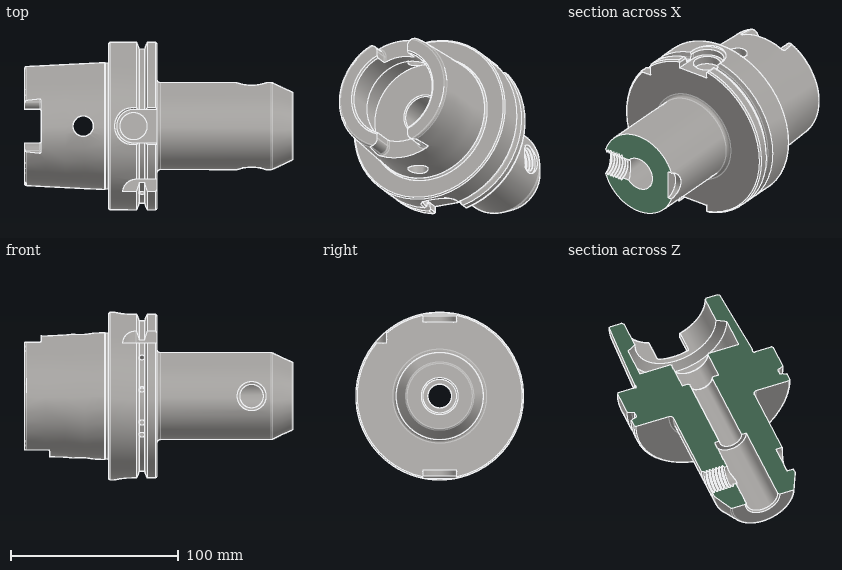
import cadquery as cq
import math


shank_length = 50.0
taper_rate = 1 / 9.98
gauge_diameter = 75.0
gauge_distance = 10.0
shank_end_round = 1.3
undercut_length = 2.2
undercut_depth = 0.3
undercut_entry = 0.5
undercut_corner_radius = 0.8
undercut_face_radius = 38.6
undercut_face_depth = 0.4

flange_radius = 50.0
flange_length = 29.0
flange_chamfer = 0.9
groove_center = 20.0
groove_floor_radius = 46.0
groove_floor_width = 3.2
groove_wall_width = 4.0
groove_wall_radius = 47.3
groove_mouth_width = 6.4

nose_radius = 26.0
nose_length = 110.0
nose_cone_start = 97.3
nose_cone_angle = 25.0
nose_cone_blend = 2.3
nose_end_round = 1.0
neck_fillet = 2.0

mouth_radius = 27.0
cavity_entry_radius = 25.9
mouth_chamfer = mouth_radius - cavity_entry_radius
clamp_shoulder_x = -31.3
clamp_shoulder_angle = 60.0
cavity_inner_radius = 31.5
cavity_floor_x = -9.0
coolant_socket_radius = 11.5
coolant_socket_chamfer = 0.8
coolant_socket_depth = 18.0
through_radius = 7.0
through_chamfer = 1.0
tool_bore_radius = 10.0
tool_bore_depth = 52.0
tool_bore_chamfer = 1.0

drive_slot_half_width = 10.0
drive_slot_flare_radius = 4.5
drive_slot_flare_height = 32.1
drive_slot_floor_fillet = 1.0
drive_slot_depths = {1: 10.0, -1: 15.0}

clamp_hole_x = -15.0
clamp_hole_radius = 6.0

key_slot_half_width = 10.0
key_slot_center_x = 15.0
key_slot_floor = 44.0
key_slot_chamfer = 1.3
chip_hole_radius = 8.1
chip_hole_depth = 5.0

notch_wall_y = -31.6
notch_floor_z = 31.5
notch_end_x = 8.4
notch_corner_radius = 8.2

balance_hole_radius = 1.65
balance_hole_depth = 10.0
balance_hole_angles = (30.0, 5.0, -20.0, -30.0)

screw_x = 85.3
screw_minor_radius = 7.0
screw_major_radius = 8.65
screw_flat = 0.4
screw_pitch = 2.0

relief_radius = 9.0
relief_floor_y = 22.0


def taper_radius(x):
    return (gauge_diameter + (x + gauge_distance) * taper_rate) / 2


def revolve_about_x(sketch):
    return sketch.close().revolve(360, (0, 0, 0), (1, 0, 0))


def drill(start, direction, radius, depth):
    return cq.Workplane(cq.Solid.makeCylinder(radius, depth, cq.Vector(*start), cq.Vector(*direction)))


def make_body():
    undercut_radius = taper_radius(-undercut_length) - undercut_depth
    cone_drop = (nose_length - nose_cone_start) * math.tan(math.radians(nose_cone_angle))
    sketch = (
        cq.Workplane("XY")
        .moveTo(-shank_length, 0)
        .lineTo(-shank_length, taper_radius(-shank_length))
        .lineTo(-undercut_length, taper_radius(-undercut_length))
        .lineTo(undercut_entry - undercut_length, undercut_radius)
        .lineTo(undercut_face_depth - undercut_corner_radius, undercut_radius)
        .radiusArc(
            (undercut_face_depth, undercut_radius + undercut_corner_radius), -undercut_corner_radius
        )
        .lineTo(0, undercut_face_radius)
        .lineTo(0, flange_radius - flange_chamfer)
        .lineTo(flange_chamfer, flange_radius)
        .lineTo(flange_length - flange_chamfer, flange_radius)
        .lineTo(flange_length, flange_radius - flange_chamfer)
        .lineTo(flange_length, nose_radius + neck_fillet)
        .radiusArc((flange_length + neck_fillet, nose_radius), -neck_fillet)
        .lineTo(nose_cone_start, nose_radius)
        .lineTo(nose_length, nose_radius - cone_drop)
        .lineTo(nose_length, 0)
    )
    body = revolve_about_x(sketch)
    body = body.faces("<X").edges().fillet(shank_end_round)
    body = body.faces(">X").edges().fillet(nose_end_round)
    cone_edge = cq.selectors.NearestToPointSelector((nose_cone_start, 0, 0))
    return body.edges("%CIRCLE").edges(cone_edge).fillet(nose_cone_blend)


def make_gripper_groove():
    half_floor = groove_floor_width / 2
    half_wall = groove_wall_width / 2
    half_mouth = groove_mouth_width / 2
    sketch = (
        cq.Workplane("XY")
        .moveTo(groove_center - half_floor, groove_floor_radius)
        .lineTo(groove_center - half_wall, groove_wall_radius)
        .lineTo(groove_center - half_mouth, flange_radius)
        .lineTo(groove_center + half_mouth, flange_radius)
        .lineTo(groove_center + half_wall, groove_wall_radius)
        .lineTo(groove_center + half_floor, groove_floor_radius)
    )
    return revolve_about_x(sketch)


def make_axial_bores():
    shoulder_end_x = clamp_shoulder_x + (
        (cavity_inner_radius - cavity_entry_radius) / math.tan(math.radians(clamp_shoulder_angle))
    )
    socket_end_x = cavity_floor_x + coolant_socket_depth
    tool_bore_start = nose_length - tool_bore_depth
    sketch = (
        cq.Workplane("XY")
        .moveTo(-shank_length, 0)
        .lineTo(-shank_length, mouth_radius)
        .lineTo(-shank_length + mouth_chamfer, cavity_entry_radius)
        .lineTo(clamp_shoulder_x, cavity_entry_radius)
        .lineTo(shoulder_end_x, cavity_inner_radius)
        .lineTo(cavity_floor_x, cavity_inner_radius)
        .lineTo(cavity_floor_x, coolant_socket_radius + coolant_socket_chamfer)
        .lineTo(cavity_floor_x + coolant_socket_chamfer, coolant_socket_radius)
        .lineTo(socket_end_x, coolant_socket_radius)
        .lineTo(socket_end_x, through_radius + through_chamfer)
        .lineTo(socket_end_x + through_chamfer, through_radius)
        .lineTo(tool_bore_start, through_radius)
        .lineTo(tool_bore_start, tool_bore_radius)
        .lineTo(nose_length - tool_bore_chamfer, tool_bore_radius)
        .lineTo(nose_length, tool_bore_radius + tool_bore_chamfer)
        .lineTo(nose_length, 0)
    )
    return revolve_about_x(sketch)


def make_drive_slot(side):
    inner_z = mouth_radius / 2
    outer_z = flange_radius
    outer_half_width = 2 * drive_slot_half_width
    flare_start_z = drive_slot_flare_height - drive_slot_flare_radius
    flare_end_y = drive_slot_half_width + drive_slot_flare_radius
    slot = (
        cq.Workplane("YZ", origin=(-shank_length, 0, 0))
        .moveTo(-drive_slot_half_width, inner_z)
        .lineTo(drive_slot_half_width, inner_z)
        .lineTo(drive_slot_half_width, flare_start_z)
        .radiusArc((flare_end_y, drive_slot_flare_height), drive_slot_flare_radius)
        .lineTo(outer_half_width, drive_slot_flare_height)
        .lineTo(outer_half_width, outer_z)
        .lineTo(-outer_half_width, outer_z)
        .lineTo(-outer_half_width, drive_slot_flare_height)
        .lineTo(-flare_end_y, drive_slot_flare_height)
        .radiusArc((-drive_slot_half_width, flare_start_z), drive_slot_flare_radius)
        .close()
        .extrude(drive_slot_depths[side])
        .faces(">X")
        .edges()
        .fillet(drive_slot_floor_fillet)
    )
    return slot if side > 0 else slot.mirror("XY")


def round_ended_slot(half_width, floor_z, end_x):
    """Slot open towards +X with a half-round end, cut down to floor_z."""
    return (
        cq.Workplane("XY", origin=(0, 0, floor_z))
        .moveTo(end_x, -half_width)
        .lineTo(key_slot_center_x, -half_width)
        .threePointArc((key_slot_center_x - half_width, 0), (key_slot_center_x, half_width))
        .lineTo(end_x, half_width)
        .close()
        .extrude(flange_radius - floor_z)
    )


def make_key_slot(side):
    rim_z = math.sqrt(flange_radius**2 - key_slot_half_width**2)
    end_x = flange_length + 2 * key_slot_chamfer
    slot = round_ended_slot(key_slot_half_width, key_slot_floor, end_x)
    flare = round_ended_slot(key_slot_half_width + key_slot_chamfer, rim_z - key_slot_chamfer, end_x)
    flare = flare.faces("<Z").edges().chamfer(key_slot_chamfer)
    slot = slot.union(flare)
    return slot if side > 0 else slot.mirror("XY")


def make_notch():
    return (
        cq.Workplane("XY", origin=(0, 0, notch_floor_z))
        .moveTo(notch_end_x, -flange_radius)
        .lineTo(flange_length, -flange_radius)
        .lineTo(flange_length, notch_wall_y)
        .lineTo(notch_end_x, notch_wall_y)
        .close()
        .extrude(flange_radius)
        .edges("|Z and <X and >Y")
        .fillet(notch_corner_radius)
    )


def make_balance_hole(angle):
    direction = (0, math.cos(math.radians(angle)), -math.sin(math.radians(angle)))
    start = (groove_center, -flange_radius * direction[1], -flange_radius * direction[2])
    depth = flange_radius - groove_floor_radius + balance_hole_depth
    return drill(start, direction, balance_hole_radius, depth)


def make_screw_hole():
    """Threaded hole from -Y into the tool bore, with the thread as a row of ring grooves."""
    crest_x = screw_x + screw_minor_radius
    root_x = screw_x + screw_major_radius
    flank_length = screw_pitch / 2 - screw_flat
    entry_y = -math.sqrt(nose_radius**2 - screw_major_radius**2)
    thread_start_y = entry_y + flank_length
    thread_count = int((-thread_start_y - tool_bore_radius) / screw_pitch)
    sketch = (
        cq.Workplane("XY")
        .moveTo(screw_x, -nose_radius)
        .lineTo(root_x, -nose_radius)
        .lineTo(root_x, entry_y)
        .lineTo(crest_x, thread_start_y)
    )
    for index in range(thread_count):
        crest_y = thread_start_y + index * screw_pitch
        root_y = crest_y + screw_flat + flank_length
        sketch = (
            sketch.lineTo(crest_x, crest_y + screw_flat)
            .lineTo(root_x, root_y)
            .lineTo(root_x, root_y + screw_flat)
            .lineTo(crest_x, crest_y + screw_pitch)
        )
    sketch = sketch.lineTo(crest_x, 0).lineTo(screw_x, 0).close()
    return sketch.revolve(360, (screw_x, 0, 0), (screw_x, 1, 0))


def make_relief():
    return drill((screw_x, relief_floor_y, 0), (0, 1, 0), relief_radius, nose_radius)


def make_clamp_holes():
    """One through hole crossing both shank walls."""
    return drill((clamp_hole_x, 0, -flange_radius), (0, 0, 1), clamp_hole_radius, 2 * flange_radius)


def make_chip_hole():
    floor_z = key_slot_floor - chip_hole_depth
    return drill((key_slot_center_x, 0, floor_z), (0, 0, 1), chip_hole_radius, flange_radius)


result = make_body().cut(make_gripper_groove()).cut(make_axial_bores())
for side in (1, -1):
    result = result.cut(make_drive_slot(side))
    result = result.cut(make_key_slot(side))
result = result.cut(make_notch())
for hole_angle in balance_hole_angles:
    result = result.cut(make_balance_hole(hole_angle))
result = result.cut(make_clamp_holes())
result = result.cut(make_chip_hole())
result = result.cut(make_screw_hole())
result = result.cut(make_relief())